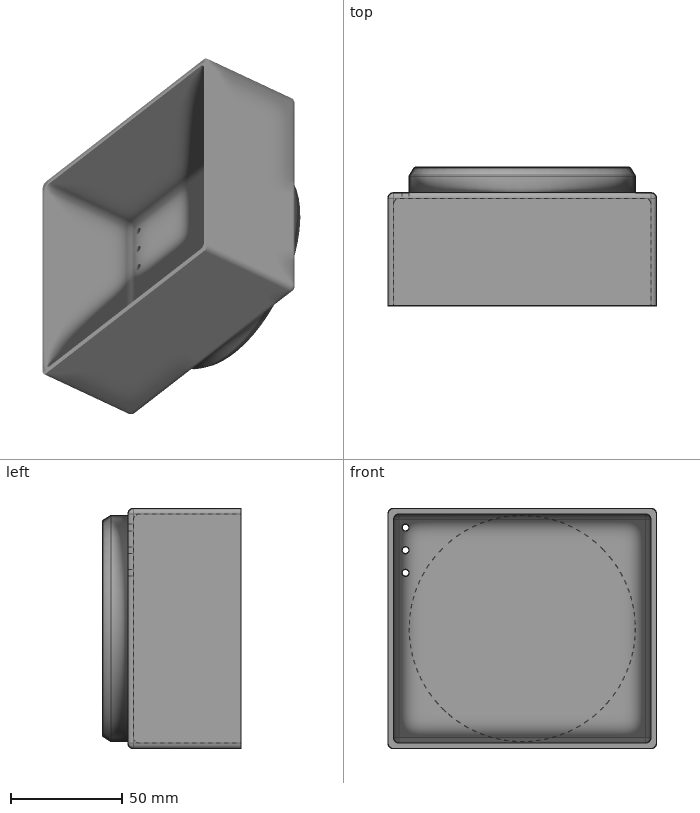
import cadquery as cq
import math

BOX_WIDTH = 120.65
BOX_HEIGHT = 107.95
BOX_DEPTH = 50.8
WALL = 2.54
EDGE_RADIUS = 2.54

TOTAL_DEPTH = 62.23
BOSS_RADIUS = 50.8
BOSS_HEIGHT = TOTAL_DEPTH - BOX_DEPTH
BOSS_SIDE_HEIGHT = 7.6
CAP_TAPER_ANGLE = 32.0
CAP_EDGE_ROUND = 1.2

HOLE_DIAMETER = 3.0
HOLE_PITCH = 10.16
HOLE_COUNT = 3
HOLE_SIDE_INSET = 7.92
FIRST_HOLE_TOP_INSET = 8.65


def block(width, depth, height):
    """Block centred in X and Z that starts at Y = 0 and runs toward +Y."""
    return cq.Workplane("XY").box(width, depth, height, centered=(True, False, True))


def rounded_block(width, depth, height):
    """Block with its four long edges and its +Y rim rounded."""
    return block(width, depth, height).edges("|Y or >Y").fillet(EDGE_RADIUS)


def open_box():
    outer = rounded_block(BOX_WIDTH, BOX_DEPTH, BOX_HEIGHT)
    cavity = rounded_block(BOX_WIDTH - 2 * WALL, BOX_DEPTH - WALL, BOX_HEIGHT - 2 * WALL)
    return outer.cut(cavity)


def boss():
    """Disc with a straight side and a tapered cap whose two circular edges are rounded."""
    cap_height = BOSS_HEIGHT - BOSS_SIDE_HEIGHT
    top_radius = BOSS_RADIUS - cap_height * math.tan(math.radians(CAP_TAPER_ANGLE))
    embedded_y = BOX_DEPTH - WALL / 2
    shoulder_y = BOX_DEPTH + BOSS_SIDE_HEIGHT
    profile = (
        cq.Workplane("YZ")
        .moveTo(embedded_y, 0)
        .lineTo(embedded_y, BOSS_RADIUS)
        .lineTo(shoulder_y, BOSS_RADIUS)
        .lineTo(TOTAL_DEPTH, top_radius)
        .lineTo(TOTAL_DEPTH, 0)
        .close()
    )
    disc = profile.revolve(360, (0, 0, 0), (1, 0, 0))
    cap_edges = disc.faces("%CONE").edges("%CIRCLE")
    return cap_edges.fillet(CAP_EDGE_ROUND)


def back_wall_holes():
    x = HOLE_SIDE_INSET - BOX_WIDTH / 2
    first_z = BOX_HEIGHT / 2 - FIRST_HOLE_TOP_INSET
    centres = [(x, first_z - i * HOLE_PITCH) for i in range(HOLE_COUNT)]
    return cq.Workplane("XZ").pushPoints(centres).circle(HOLE_DIAMETER / 2).extrude(-TOTAL_DEPTH)


result = open_box().union(boss()).cut(back_wall_holes())